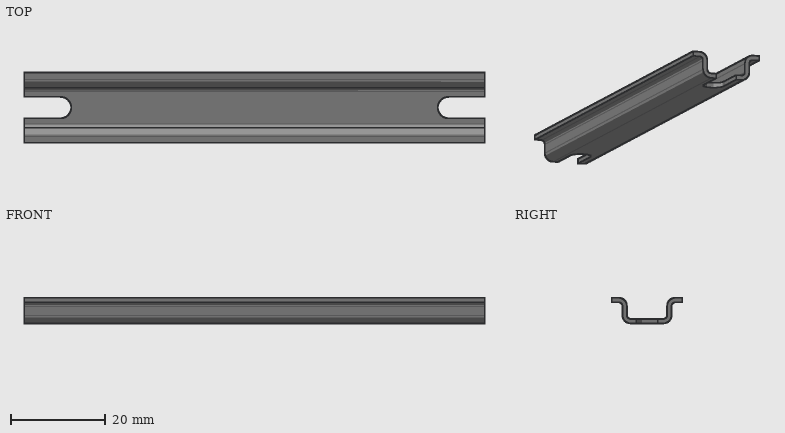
import cadquery as cq

length = 98.0
width = 15.0
height = 5.5
thickness = 1.0
channel_width = 10.5
inner_bend_radius = 0.8
slot_width = 4.5
slot_depth = 10.0

half_length = length / 2
half_width = width / 2
outer_bend_radius = inner_bend_radius + thickness
wall_outside = channel_width / 2
wall_inside = wall_outside - thickness
flange_underside = height - thickness


def make_half_rail():
    """Web, side wall and flange on the +Y side, with both bends rounded."""
    blank = (
        cq.Workplane("YZ", origin=(-half_length, 0, -height / 2))
        .moveTo(0, 0)
        .lineTo(wall_outside - outer_bend_radius, 0)
        .radiusArc((wall_outside, outer_bend_radius), -outer_bend_radius)
        .lineTo(wall_outside, flange_underside - inner_bend_radius)
        .radiusArc((wall_outside + inner_bend_radius, flange_underside), inner_bend_radius)
        .lineTo(half_width, flange_underside)
        .lineTo(half_width, height)
        .lineTo(wall_inside + outer_bend_radius, height)
        .radiusArc((wall_inside, height - outer_bend_radius), -outer_bend_radius)
        .lineTo(wall_inside, thickness + inner_bend_radius)
        .radiusArc((wall_inside - inner_bend_radius, thickness), inner_bend_radius)
        .lineTo(0, thickness)
        .close()
    )
    return blank.extrude(length)


def make_rail():
    half_rail = make_half_rail()
    return half_rail.union(half_rail.mirror("XZ")).clean()


def make_slot_cutter(end):
    """Round-ended slot cutter centred on a rail end; end is -1 or +1 along X."""
    return (
        cq.Workplane("XY", origin=(end * half_length, 0, 0))
        .slot2D(2 * slot_depth, slot_width)
        .extrude(height, both=True)
    )


result = make_rail()
for rail_end in (-1, 1):
    result = result.cut(make_slot_cutter(rail_end))